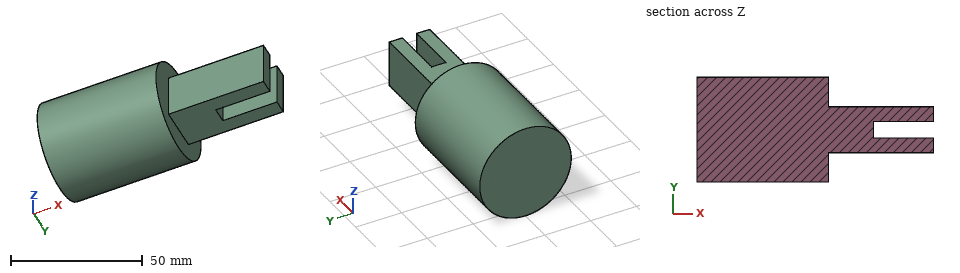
import cadquery as cq

total_length = 90.0
body_diameter = 40.0
body_length = 50.0

tongue_width = 17.6
tongue_height = body_diameter / 2
tongue_length = total_length - body_length

slot_width = 6.2
slot_depth = 22.8


def end_block(length, width, height):
    """Box centred on the X axis that ends at the free end of the tongue."""
    block = cq.Workplane("XY").box(length, width, height)
    return block.translate((total_length - length / 2, 0, 0))


body = cq.Workplane("YZ").circle(body_diameter / 2).extrude(body_length)
tongue = end_block(tongue_length, tongue_width, tongue_height)
slot = end_block(slot_depth, slot_width, tongue_height)

result = body.union(tongue).cut(slot)